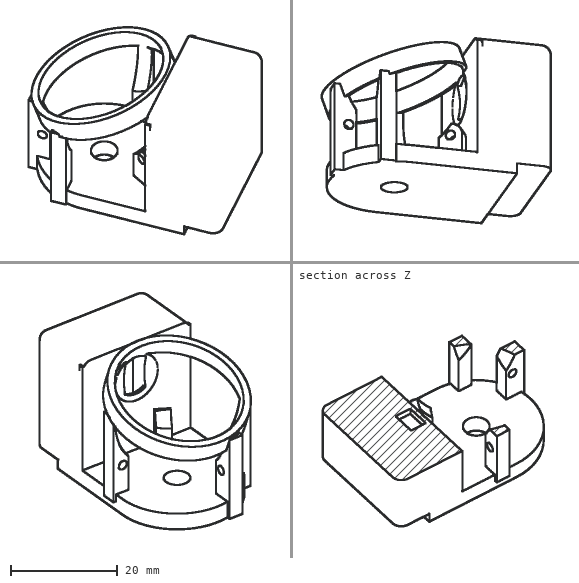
import cadquery as cq
import math

overall_length = 41.05

base_diameter = 25.35
base_radius = base_diameter / 2
base_height = 3.5
base_end_x = 20.4
base_hole_diameter = 5.0

ring_diameter = 27.5
ring_height = 4.0
ring_tilt = 20.0
ball_radius = 12.97
tilt_sine = math.sin(math.radians(ring_tilt))
tilt_cosine = math.cos(math.radians(ring_tilt))
ball_x = ring_height / 2 * tilt_sine
ball_z = 19.25
ring_left_x = ball_x - ring_height * tilt_sine - ring_diameter / 2 * tilt_cosine

box_front_x = base_radius
box_end_x = ring_left_x + overall_length
box_bottom_z = 2.0
box_top_z = 27.22
box_fillet = 2.0
front_plate_thickness = 1.0
front_plate_top_z = 26.28

post_width = 3.0
pin_diameter = 1.8
pin_z = 9.4

left_post_x = (-13.1, -8.85)
left_post_y = -5.55
left_post_top_z = 17.45
left_pin_x = -10.35

front_post_x = -6.08
front_post_length = 3.0
front_post_top_z = 18.03

back_post_x = 2.1
back_post_y = (9.77, 13.3)
back_post_top_z = 20.55
back_pin_y = 11.13

angled_post_angle = -31.0
angled_post_end_radius = 2.3
angled_pin_x = 10.15
angled_pin_y = -4.25

window_width = 4.75
window_height = 8.3
window_z = 19.6
pocket_end_x = 17.0
pocket_height = 13.95


def block(x_range, y_range, z_range):
    """Box spanning the given (low, high) ranges."""
    size = [high - low for low, high in (x_range, y_range, z_range)]
    corner = (x_range[0], y_range[0], z_range[0])
    return cq.Workplane("XY").box(*size, centered=False).translate(corner)


def make_base():
    disc = cq.Workplane("XY").circle(base_radius).extrude(base_height)
    tongue = block((0, base_end_x), (-base_radius, base_radius), (0, base_height))
    return disc.union(tongue)


def make_box():
    sides = (-base_radius, base_radius)
    body = block((box_front_x, box_end_x), sides, (box_bottom_z, box_top_z))
    body = body.edges("(>Z and (not <X)) or (>X and |Z)").fillet(box_fillet)
    plate_x = (box_front_x, box_front_x + front_plate_thickness)
    return body.union(block(plate_x, sides, (box_bottom_z, front_plate_top_z)))


def make_ring():
    ring = cq.Workplane("XY").circle(ring_diameter / 2).extrude(ring_height)
    return ring.rotate((0, 0, 0), (0, 1, 0), -ring_tilt).translate((ball_x, 0, ball_z))


def make_left_post():
    y_range = (left_post_y, left_post_y + post_width)
    post = block(left_post_x, y_range, (0, left_post_top_z))
    pin = cq.Workplane("XZ", origin=(left_pin_x, 0, pin_z)).circle(pin_diameter / 2)
    return post.cut(pin.extrude(base_radius))


def make_front_post():
    x_range = (front_post_x, front_post_x + post_width)
    y_range = (-base_radius, -base_radius + front_post_length)
    return block(x_range, y_range, (0, front_post_top_z))


def make_back_post():
    x_range = (back_post_x, back_post_x + post_width)
    post = block(x_range, back_post_y, (box_bottom_z, back_post_top_z))
    pin = cq.Workplane("YZ", origin=(0, back_pin_y, pin_z)).circle(pin_diameter / 2)
    return post.cut(pin.extrude(base_radius))


def make_angled_post():
    """Round-topped post, drawn about its pin axis and turned towards the box."""
    profile = (
        cq.Workplane("XZ")
        .moveTo(-angled_post_end_radius, 0)
        .lineTo(-angled_post_end_radius, pin_z)
        .threePointArc((0, pin_z + angled_post_end_radius), (angled_post_end_radius, pin_z))
        .lineTo(angled_post_end_radius, 0)
        .close()
    )
    post = profile.extrude(post_width / 2, both=True)
    pin = cq.Workplane("XZ").center(0, pin_z).circle(pin_diameter / 2)
    post = post.cut(pin.extrude(post_width, both=True))
    turned = post.rotate((0, 0, 0), (0, 0, 1), angled_post_angle)
    return turned.translate((angled_pin_x, angled_pin_y, 0))


def make_window():
    """Round-ended slot through the front plate and the taller pocket behind it."""
    plate_back_x = box_front_x + front_plate_thickness
    round_hole = (
        cq.Workplane("YZ", origin=(box_front_x, 0, window_z))
        .circle(window_height / 2)
        .extrude(front_plate_thickness)
    )
    sides = (-window_width / 2, window_width / 2)
    pocket_z = (window_z - pocket_height / 2, window_z + pocket_height / 2)
    slot = block((box_front_x, plate_back_x), sides, pocket_z).intersect(round_hole)
    pocket = block((plate_back_x, pocket_end_x), sides, pocket_z)
    return slot.union(pocket)


base_hole = cq.Workplane("XY").circle(base_hole_diameter / 2).extrude(base_height)
ball = cq.Workplane("XY").sphere(ball_radius).translate((ball_x, 0, ball_z))

result = make_base().union(make_box()).union(make_ring())
for post in (make_left_post(), make_front_post(), make_back_post(), make_angled_post()):
    result = result.union(post)
result = result.cut(ball).cut(make_window()).cut(base_hole)